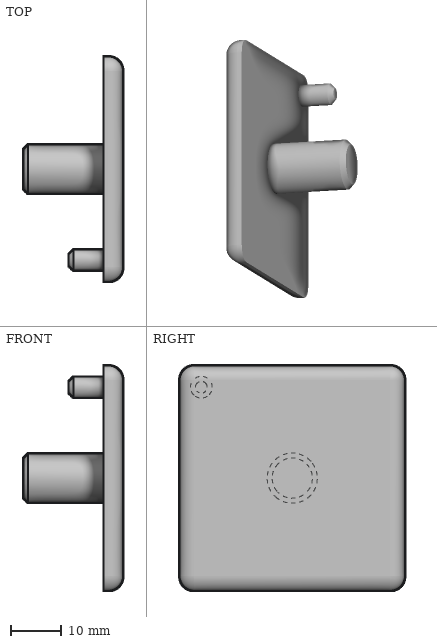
import cadquery as cq

plate_side = 45.0
plate_thickness = 4.0
edge_radius = 3.0

post_diameter = 10.0
post_length = 15.98
pin_diameter = 4.3
pin_length = 6.98
pin_offset = 18.1
tip_chamfer = 1.0


def make_plate():
    """Plate with rounded corners and a fully rounded rim on the +X side."""
    blank = cq.Workplane("YZ").rect(plate_side, plate_side).extrude(plate_thickness)
    return blank.edges("|X or >X").fillet(edge_radius)


def make_stud(diameter, length, y, z):
    """Round stud standing on the back face, with a chamfered tip."""
    stud = cq.Workplane("YZ").center(y, z).circle(diameter / 2).extrude(-length)
    return stud.faces("<X").chamfer(tip_chamfer)


post = make_stud(post_diameter, post_length, 0, 0)
pin = make_stud(pin_diameter, pin_length, -pin_offset, pin_offset)

result = make_plate().union(post).union(pin)